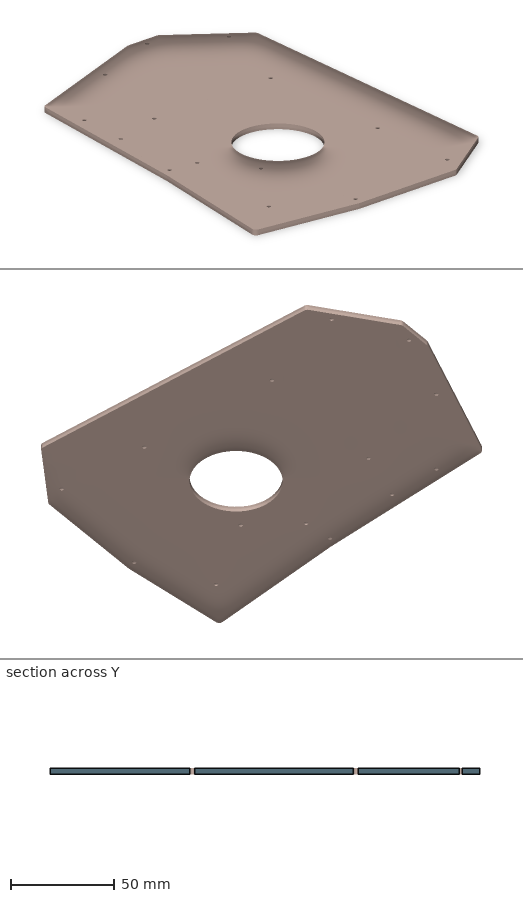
import cadquery as cq

length = 216.5
top_edge = 155.7
thickness = 3.0
corner_radius = 2.2
small_hole_diameter = 2.2
opening_diameter = 45.0
opening_center = (135.3, 77.5)

outline = [
    (208.3, -0.2),
    (length, 59.5),
    (length, 121.5),
    (193.5, top_edge),
    (28.8, top_edge),
    (0, 117.4),
    (0, 98.0),
    (28.8, 19.7),
    (130.5, 10.8),
]

pattern_left = 74.7
pattern_bottom = 50.7
pattern_width = 79.3
pattern_height = 74.5
pattern_holes = [
    (pattern_left + dx, pattern_bottom + dy)
    for dx in (0, pattern_width)
    for dy in (0, pattern_height)
]

edge_holes = [
    (23.8, 142.3),
    (4.3, 106.8),
    (19.3, 67.1),
    (54.1, 23.8),
    (82.7, 22.5),
    (126.5, 16.0),
    (128.6, 31.8),
    (191.0, 23.8),
    (211.5, 61.5),
    (204.6, 126.0),
]


def make_plate():
    """Flat plate with slightly rounded corners."""
    plate = cq.Workplane("XY").polyline(outline).close().extrude(thickness)
    return plate.edges("|Z").fillet(corner_radius)


def make_cutter(centers, diameter):
    """Cylinders that pass through the full plate thickness."""
    return cq.Workplane("XY").pushPoints(centers).circle(diameter / 2).extrude(thickness)


result = (
    make_plate()
    .cut(make_cutter([opening_center], opening_diameter))
    .cut(make_cutter(pattern_holes + edge_holes, small_hole_diameter))
)